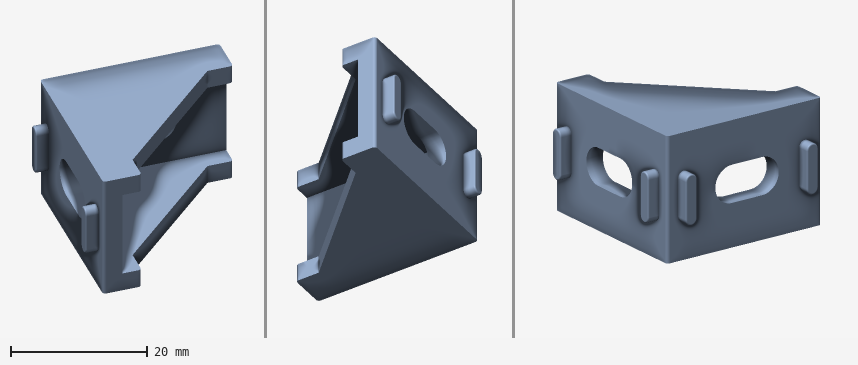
import cadquery as cq

overall = 30.0
height = 20.0
peg_length = 2.0
peg_width = 2.0
peg_height = 8.0
peg_inset = 3.0
peg_tip_fillet = 0.25
wall = 3.0
flange_depth = 6.0
flange_land = 4.0
corner_radius = 0.5
slot_length = 11.5
slot_width = 6.0
slot_offset = 14.5

leg = overall - peg_length
mid_height = height / 2
diagonal_start = leg - flange_land
peg_places = (peg_inset, leg - peg_inset)


def make_body():
    """Triangular bracket with rounded outer edges."""
    outline = [
        (0, 0),
        (leg, 0),
        (leg, flange_depth),
        (diagonal_start, flange_depth),
        (flange_depth, diagonal_start),
        (flange_depth, leg),
        (0, leg),
    ]
    body = cq.Workplane("XY").polyline(outline).close().extrude(height)
    body = body.faces("<X or >X").edges("|Z").fillet(corner_radius)
    return body.faces(">Y").edges("|Z and >X").fillet(corner_radius)


def make_pocket():
    """Space between the side plates, open toward the diagonal and both ends."""
    return cq.Workplane("XY").box(leg, leg, height - 2 * wall, centered=False).translate((wall, wall, wall))


def make_slot():
    """Screw slot through the wall on Y = 0."""
    return (
        cq.Workplane("XZ", origin=(slot_offset, 0, mid_height))
        .slot2D(slot_length, slot_width)
        .extrude(-wall)
    )


def make_pegs():
    """Two upright locating pegs projecting from the wall on Y = 0."""
    return (
        cq.Workplane("XZ")
        .pushPoints([(place, mid_height) for place in peg_places])
        .slot2D(peg_height, peg_width, 90)
        .extrude(peg_length)
        .faces("<Y")
        .edges()
        .fillet(peg_tip_fillet)
    )


def on_other_wall(feature):
    """Mirror a feature of the Y = 0 wall across the X = Y plane onto the X = 0 wall."""
    return feature.mirror("XZ").rotate((0, 0, 0), (0, 0, 1), 90)


slot = make_slot()
pegs = make_pegs()
result = make_body().cut(make_pocket())
result = result.cut(slot).cut(on_other_wall(slot))
result = result.union(pegs).union(on_other_wall(pegs))